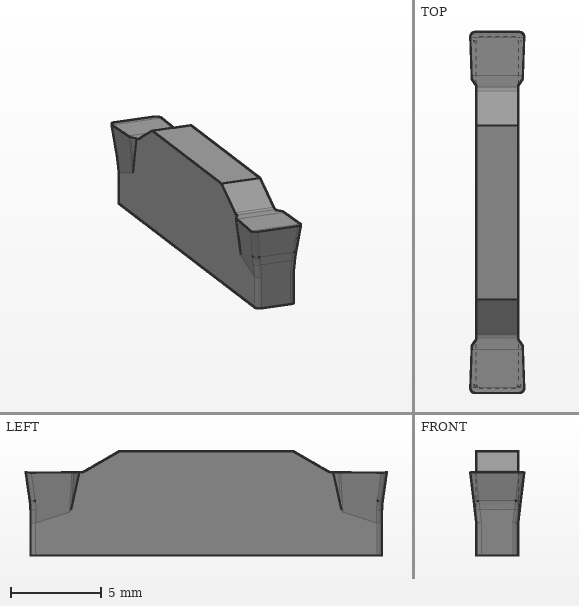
import cadquery as cq
import math

LENGTH = 20.0
HEIGHT = 5.78
BODY_WIDTH = 2.35
HEAD_WIDTH = 3.0
HALF_LENGTH = LENGTH / 2
BODY_HALF_WIDTH = BODY_WIDTH / 2

HEAD_TOP = 4.62
END_SETBACK = 0.26
END_BLEND_BOTTOM = 2.56
END_BLEND_TOP = 3.05
PLATEAU_HALF_LENGTH = 4.82
RAMP_ANGLE = 30.0
RAMP_BLEND_RADIUS = 0.45
CORNER_RADIUS = 0.3

LAND_LENGTH = 0.32
RAKE_END = 7.58
RAKE_DEPTH = 0.02

SIDE_RELIEF = 0.115
BACK_RELIEF = 0.037
NECK_START = 7.38
NECK_END = 7.02
NECK_BOTTOM = 2.5
NECK_BOTTOM_Y = 7.5
NECK_BLEND_RADIUS = 0.2
WEDGE_BOTTOM = 1.6


def half_profile(width):
    """One lengthwise half of the insert, kept at constant width."""
    end_y = HALF_LENGTH - END_SETBACK
    blend_corner_z = (END_BLEND_BOTTOM + END_BLEND_TOP) / 2
    lean = END_SETBACK / (HEAD_TOP - blend_corner_z)
    blend_top_y = end_y + lean * (END_BLEND_TOP - blend_corner_z)

    land_y = HALF_LENGTH - LAND_LENGTH
    ramp_angle = math.radians(RAMP_ANGLE)
    ramp_foot = PLATEAU_HALF_LENGTH + (HEIGHT - HEAD_TOP) / math.tan(ramp_angle)
    blend_reach = RAMP_BLEND_RADIUS * math.tan(ramp_angle / 2)
    ramp_blend_y = ramp_foot - blend_reach * math.cos(ramp_angle)
    ramp_blend_z = HEAD_TOP + blend_reach * math.sin(ramp_angle)

    outline = (
        cq.Workplane("YZ")
        .lineTo(end_y, 0)
        .lineTo(end_y, END_BLEND_BOTTOM)
        .tangentArcPoint((blend_top_y, END_BLEND_TOP), relative=False)
        .lineTo(HALF_LENGTH, HEAD_TOP)
        .threePointArc(
            (HALF_LENGTH - LAND_LENGTH / 2, HEAD_TOP - RAKE_DEPTH * 3 / 4),
            (land_y, HEAD_TOP - RAKE_DEPTH),
        )
        .threePointArc(
            ((land_y + RAKE_END) / 2, HEAD_TOP - RAKE_DEPTH / 4),
            (RAKE_END, HEAD_TOP),
        )
        .lineTo(ramp_foot + blend_reach, HEAD_TOP)
        .tangentArcPoint((ramp_blend_y, ramp_blend_z), relative=False)
        .lineTo(PLATEAU_HALF_LENGTH, HEIGHT)
        .lineTo(0, HEIGHT)
        .close()
    )
    return outline.extrude(width / 2, both=True)


def round_end_corners(solid):
    """Round the upright corners along the end face, following its lean."""
    end_edges = cq.selectors.BoxSelector(
        (-HEAD_WIDTH, HALF_LENGTH - END_SETBACK - 0.02, 0.02),
        (HEAD_WIDTH, HALF_LENGTH + 0.02, HEAD_TOP - 0.2),
    )
    return solid.edges(end_edges).edges("not |X").fillet(CORNER_RADIUS)


def flank_half_width(y, z):
    """Flank position; the full head width is at the back of the land."""
    depth = HEAD_TOP - RAKE_DEPTH - z
    distance_behind = HALF_LENGTH - LAND_LENGTH - y
    return HEAD_WIDTH / 2 - SIDE_RELIEF * depth - BACK_RELIEF * distance_behind


def wedge_section(z):
    """Plan section of the space bounded by the flanks and the neck faces."""
    neck_lean = (NECK_BOTTOM_Y - NECK_START) / (HEAD_TOP - NECK_BOTTOM)
    corner_y = NECK_START + neck_lean * (HEAD_TOP - z)
    corner_x = flank_half_width(corner_y, z)
    neck_run = NECK_START - NECK_END
    neck_step = flank_half_width(NECK_START, HEAD_TOP) - BODY_HALF_WIDTH
    front_y = HALF_LENGTH + 0.2
    front_x = flank_half_width(front_y, z)
    right_side = [
        (front_x, front_y),
        (corner_x, corner_y),
        (corner_x - neck_step, corner_y - neck_run),
    ]
    left_side = [(-x, y) for x, y in reversed(right_side)]
    points = [cq.Vector(x, y, z) for x, y in right_side + left_side]
    return cq.Wire.makePolygon(points, close=True)


def head():
    """Cutting head with relieved flanks, narrowing to the neck."""
    sections = [wedge_section(WEDGE_BOTTOM), wedge_section(HEAD_TOP + 0.2)]
    wedge = cq.Workplane(cq.Solid.makeLoft(sections, True))
    neck_corners = cq.selectors.BoxSelector(
        (-HEAD_WIDTH, NECK_START - 0.1, WEDGE_BOTTOM + 0.2),
        (HEAD_WIDTH, NECK_BOTTOM_Y + 0.1, HEAD_TOP),
    )
    wedge = wedge.edges(neck_corners).fillet(NECK_BLEND_RADIUS)
    return round_end_corners(half_profile(HEAD_WIDTH + 0.4).intersect(wedge))


body = round_end_corners(half_profile(BODY_WIDTH))
half_insert = body.union(head())
result = half_insert.union(half_insert.mirror("XZ"))